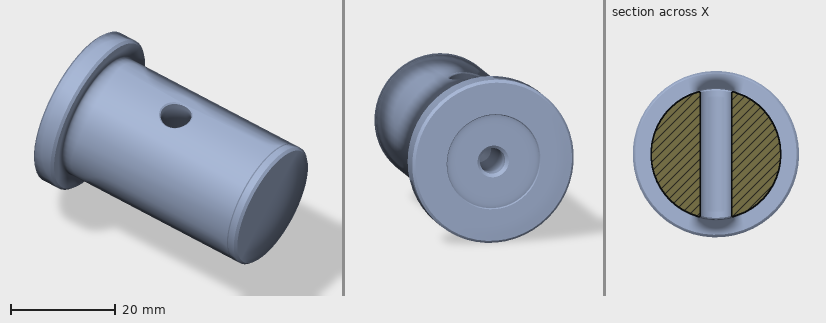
import cadquery as cq
import math

length = 45.0
flange_diameter = 32.0
flange_thickness = 4.7
body_diameter = 25.0
edge_chamfer = 0.5
root_fillet = 0.22

groove_from_end = 2.0
groove_width = 0.25
groove_depth = 0.15

recess_diameter = 18.65
recess_depth = 0.3
recess_wall_run = 0.2

bore_diameter = 5.0
bore_depth = 12.0
bore_mouth_diameter = 6.2
drill_point_angle = 118.0

cross_hole_diameter = 6.0
cross_hole_chamfer = 0.25

flange_radius = flange_diameter / 2
body_radius = body_diameter / 2
groove_x = length - groove_from_end
cross_hole_x = length / 2


def revolve_about_x(profile):
    """Revolve a closed (x, radius) profile a full turn about the X axis."""
    return profile.close().revolve(360, (0, 0, 0), (1, 0, 0))


def stepped_blank():
    """Flange and body in one turned profile, with chamfers, root fillet and groove."""
    arc_middle = root_fillet * (1 - math.sqrt(0.5))
    profile = (
        cq.Workplane("XY")
        .moveTo(0, 0)
        .lineTo(0, flange_radius - edge_chamfer)
        .lineTo(edge_chamfer, flange_radius)
        .lineTo(flange_thickness - edge_chamfer, flange_radius)
        .lineTo(flange_thickness, flange_radius - edge_chamfer)
        .lineTo(flange_thickness, body_radius + root_fillet)
        .threePointArc(
            (flange_thickness + arc_middle, body_radius + arc_middle),
            (flange_thickness + root_fillet, body_radius),
        )
        .lineTo(groove_x - groove_width / 2, body_radius)
        .lineTo(groove_x, body_radius - groove_depth)
        .lineTo(groove_x + groove_width / 2, body_radius)
        .lineTo(length - edge_chamfer, body_radius)
        .lineTo(length, body_radius - edge_chamfer)
        .lineTo(length, 0)
    )
    return revolve_about_x(profile)


def recess_and_bore():
    """Volume removed from the flange face: recess, countersink, bore and drill point."""
    recess_radius = recess_diameter / 2
    bore_radius = bore_diameter / 2
    mouth_radius = bore_mouth_diameter / 2
    countersink_depth = mouth_radius - bore_radius
    point_length = bore_radius / math.tan(math.radians(drill_point_angle / 2))
    profile = (
        cq.Workplane("XY")
        .moveTo(0, 0)
        .lineTo(0, recess_radius)
        .lineTo(recess_depth, recess_radius - recess_wall_run)
        .lineTo(recess_depth, mouth_radius)
        .lineTo(recess_depth + countersink_depth, bore_radius)
        .lineTo(bore_depth, bore_radius)
        .lineTo(bore_depth + point_length, 0)
    )
    return revolve_about_x(profile)


def drill_cross_hole(part):
    """Cut the through hole along Z and break its edges where it meets the body."""
    cutter = (
        cq.Workplane("XY", origin=(cross_hole_x, 0, -body_radius))
        .circle(cross_hole_diameter / 2)
        .extrude(body_diameter)
    )
    drilled = part.cut(cutter)
    around_hole = cq.selectors.BoxSelector(
        (cross_hole_x - cross_hole_diameter, -cross_hole_diameter, -body_diameter),
        (cross_hole_x + cross_hole_diameter, cross_hole_diameter, body_diameter),
        boundingbox=True,
    )
    rims = around_hole - cq.selectors.TypeSelector("LINE")
    return drilled.edges(rims).chamfer(cross_hole_chamfer)


result = drill_cross_hole(stepped_blank().cut(recess_and_bore()))